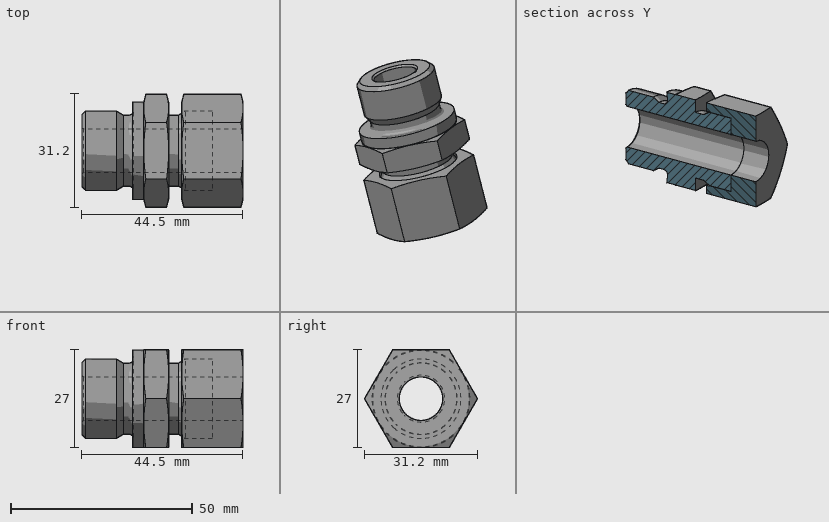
import cadquery as cq
import math

total_length = 44.5
hex_flats = 27.0
hex_corner_radius = hex_flats / math.sqrt(3)
hex_chamfer_angle = math.radians(15)
hex_chamfer_radius = 13.3

bore_radius = 5.95
bore_chamfer = 0.55
thread_radius = 11.0
thread_chamfer = 1.05
neck_radius = 9.85

stud_length = 14.0
thread_length = 9.52
thread_runout = 1.9

collar_radius = 13.5
collar_width = 3.03
edge_radius = 12.95
relief_angle = math.radians(7)
undercut_fillet = 1.25

hex_width = 6.95
neck_length = 2.65
shank_taper_angle = math.radians(30)

nut_length = 17.0

collar_end = stud_length + collar_width
hex_end = collar_end + hex_width
nut_start = total_length - nut_length
shank_end = nut_start + nut_length / 2


def hexagon(start, length):
    """Hexagonal prism along X, flats facing up and down, corners chamfered at both ends."""
    prism = (
        cq.Workplane("YZ", origin=(start, 0, 0))
        .polygon(6, 2 * hex_corner_radius)
        .extrude(length)
    )
    chamfer_depth = (hex_corner_radius - hex_chamfer_radius) * math.tan(hex_chamfer_angle)
    end = start + length
    envelope = (
        cq.Workplane("XY")
        .moveTo(start, 0)
        .lineTo(start, hex_chamfer_radius)
        .lineTo(start + chamfer_depth, hex_corner_radius)
        .lineTo(end - chamfer_depth, hex_corner_radius)
        .lineTo(end, hex_chamfer_radius)
        .lineTo(end, 0)
        .close()
        .revolve(360, (0, 0, 0), (1, 0, 0))
    )
    return prism.intersect(envelope)


def cylinder(start, end, radius):
    """Solid cylinder on the X axis."""
    return cq.Workplane("YZ", origin=(start, 0, 0)).circle(radius).extrude(end - start)


def make_stud():
    """Threaded stud end with undercut, up to and including the sealing collar."""
    fillet_end_radius = neck_radius + undercut_fillet * (1 + math.sin(relief_angle))
    fillet_end = stud_length + (edge_radius - fillet_end_radius) * math.tan(relief_angle)
    fillet_start = fillet_end - undercut_fillet * math.cos(relief_angle)
    fillet_centre_radius = neck_radius + undercut_fillet
    fillet_mid_offset = undercut_fillet * math.sqrt(0.5)
    return (
        cq.Workplane("XY")
        .moveTo(0, 0)
        .lineTo(0, thread_radius - thread_chamfer)
        .lineTo(thread_chamfer, thread_radius)
        .lineTo(thread_length, thread_radius)
        .lineTo(thread_length + thread_runout, neck_radius)
        .lineTo(fillet_start, neck_radius)
        .threePointArc(
            (fillet_start + fillet_mid_offset, fillet_centre_radius - fillet_mid_offset),
            (fillet_end, fillet_end_radius),
        )
        .lineTo(stud_length, edge_radius)
        .lineTo(stud_length, collar_radius)
        .lineTo(collar_end, collar_radius)
        .lineTo(collar_end, 0)
        .close()
        .revolve(360, (0, 0, 0), (1, 0, 0))
    )


def make_shank():
    """Neck behind the hexagon, tapering up to the thread that carries the nut."""
    taper_start = hex_end + neck_length
    taper_length = (thread_radius - neck_radius) / math.tan(shank_taper_angle)
    return (
        cq.Workplane("XY")
        .moveTo(hex_end, 0)
        .lineTo(hex_end, neck_radius)
        .lineTo(taper_start, neck_radius)
        .lineTo(taper_start + taper_length, thread_radius)
        .lineTo(shank_end, thread_radius)
        .lineTo(shank_end, 0)
        .close()
        .revolve(360, (0, 0, 0), (1, 0, 0))
    )


def make_body():
    """Fitting body: stud, collar, hexagon and shank, bored through."""
    blank = make_stud().union(hexagon(collar_end, hex_width)).union(make_shank())
    bored = blank.cut(cylinder(0, shank_end, bore_radius))
    bore_mouth = bored.faces("<X").edges(cq.selectors.RadiusNthSelector(0))
    return bore_mouth.chamfer(bore_chamfer)


def make_nut():
    """Union nut: threaded socket that seats on the shank end, with a through bore."""
    socket = cylinder(nut_start, shank_end, thread_radius)
    through_bore = cylinder(shank_end, total_length, bore_radius)
    return hexagon(nut_start, nut_length).cut(socket).cut(through_bore)


body = make_body()
nut = make_nut()

result = cq.Compound.makeCompound([body.solids().val(), nut.solids().val()])